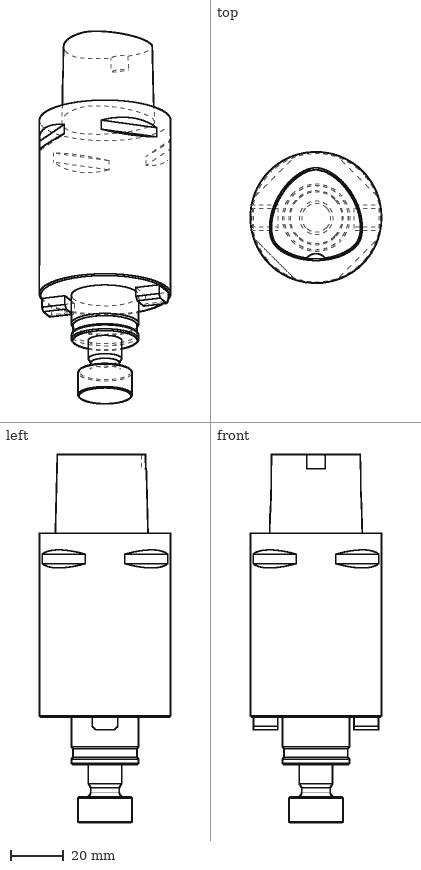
import cadquery as cq
import math

total_length = 140.2
shank_length = 30.0
body_length = 70.0
body_diameter = 50.0
body_chamfer = 0.5
body_bottom = -body_length
tail_length = total_length - shank_length - body_length

polygon_radius = 17.7
polygon_lobe = 1.3
shank_taper = 1 / 20
outline_points = 48

notch_radius = 4.3
notch_center_y = -18.1
notch_height = 5.6

slot_count = 4
slot_depth = 2.8
slot_center_z = -9.8
slot_floor_height = 3.6
slot_wall_angle = 30.0

key_width = 9.8
key_height = 4.9
key_inner = 14.5
key_outer = 23.8
key_chamfer = 1.4

pilot_radius = 25.7 / 2
pilot_depth = 11.4
groove_radius = 24.4 / 2
groove_start = 12.0
groove_end = 15.3
ring_top = 16.0
ring_bottom = 17.5
pilot_end = 18.1
pilot_end_radius = 25.4 / 2 - 0.4
screw_radius = 12.8 / 2
screw_end = 25.4
neck_radius = 11.0 / 2
neck_start = 26.9
neck_end = 28.6
head_radius = 20.6 / 2
head_start = 30.4
head_chamfer = 0.4
neck_fillet = head_start - neck_end


def polygon_outline(radius):
    """Points of a rounded triangle whose support distance is radius + lobe * cos(3a)."""
    points = []
    for i in range(outline_points):
        angle = 2 * math.pi * i / outline_points
        support = radius + polygon_lobe * math.cos(3 * angle)
        slope = -3 * polygon_lobe * math.sin(3 * angle)
        along = support * math.cos(angle) - slope * math.sin(angle)
        across = support * math.sin(angle) + slope * math.cos(angle)
        points.append((-across, along))
    return points


def make_shank():
    tip_radius = polygon_radius - shank_length * shank_taper / 2
    shank = (
        cq.Workplane("XY")
        .spline(polygon_outline(polygon_radius), periodic=True)
        .close()
        .workplane(offset=shank_length)
        .spline(polygon_outline(tip_radius), periodic=True)
        .close()
        .loft(ruled=True)
    )
    notch = (
        cq.Workplane("XY", origin=(0, notch_center_y, shank_length - notch_height))
        .circle(notch_radius)
        .extrude(notch_height)
    )
    return shank.cut(notch)


def make_body():
    body = (
        cq.Workplane("XY", origin=(0, 0, body_bottom))
        .circle(body_diameter / 2)
        .extrude(body_length)
        .faces("<Z")
        .chamfer(body_chamfer)
    )
    outer = body_diameter / 2
    floor_half = slot_floor_height / 2
    mouth_half = floor_half + slot_depth * math.tan(math.radians(slot_wall_angle))
    slot = (
        cq.Workplane("XZ", origin=(0, 0, slot_center_z))
        .polyline([
            (outer - slot_depth, -floor_half),
            (outer, -mouth_half),
            (outer, mouth_half),
            (outer - slot_depth, floor_half),
        ])
        .close()
        .extrude(outer, both=True)
    )
    spacing = 360 / slot_count
    for i in range(slot_count):
        body = body.cut(slot.rotate((0, 0, 0), (0, 0, 1), (i + 0.5) * spacing))
    return body


def make_key(side):
    return (
        cq.Workplane("XY", origin=(side * (key_inner + key_outer) / 2, 0, body_bottom))
        .rect(key_outer - key_inner, key_width)
        .extrude(-key_height)
        .faces("<Z")
        .edges("|X")
        .chamfer(key_chamfer)
    )


def make_tail():
    arc_center = (neck_radius + neck_fillet, -neck_end)
    arc_reach = neck_fillet * math.sqrt(0.5)
    arc_middle = (arc_center[0] - arc_reach, arc_center[1] - arc_reach)
    profile = (
        cq.Workplane("XZ", origin=(0, 0, body_bottom))
        .moveTo(0, 0)
        .lineTo(pilot_radius, 0)
        .lineTo(pilot_radius, -pilot_depth)
        .lineTo(groove_radius, -groove_start)
        .lineTo(groove_radius, -groove_end)
        .lineTo(pilot_radius, -ring_top)
        .lineTo(pilot_radius, -ring_bottom)
        .lineTo(pilot_end_radius, -pilot_end)
        .lineTo(screw_radius, -pilot_end)
        .lineTo(screw_radius, -screw_end)
        .lineTo(neck_radius, -neck_start)
        .lineTo(neck_radius, -neck_end)
        .threePointArc(arc_middle, (arc_center[0], -head_start))
        .lineTo(head_radius - head_chamfer, -head_start)
        .lineTo(head_radius, -head_start - head_chamfer)
        .lineTo(head_radius, -tail_length + head_chamfer)
        .lineTo(head_radius - head_chamfer, -tail_length)
        .lineTo(0, -tail_length)
        .close()
    )
    return profile.revolve(360, (0, 0, 0), (0, 1, 0))


result = make_body().union(make_shank()).union(make_tail())
for key_side in (-1, 1):
    result = result.union(make_key(key_side))